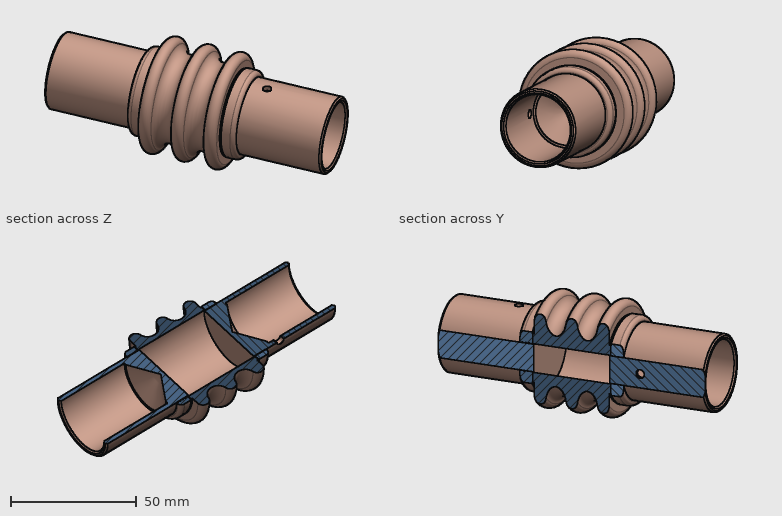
import cadquery as cq
import math


overall_length = 117.5
hub_radius = 15.9
bore_radius = 13.6
rim_chamfer = 0.7
bore_floor_x = 25.8
cone_radius = 12.6
cone_point_angle = 118.0
radial_hole_x = 30.1
radial_hole_diameter = 3.4

bellows_diameter = 48.0
rib_count = 3
rib_pitch = 13.9
rib_radius = 2.7
valley_floor_radius = 18.2
neck_length = 0.7
neck_radius = 18.0

ring_radius = 18.3
ring_width = 5.6
ring_fillet = 1.9

hub_outer_x = overall_length / 2
last_rib_x = rib_pitch * (rib_count - 1) / 2
bellows_side_x = last_rib_x + rib_radius
neck_end_x = bellows_side_x + neck_length
hub_inner_x = bellows_side_x

rib_center_radius = bellows_diameter / 2 - rib_radius
half_pitch = rib_pitch / 2
rib_center_height = rib_center_radius - valley_floor_radius
rib_top_height = rib_center_height + rib_radius
valley_radius = (half_pitch**2 + rib_center_height**2 - rib_radius**2) / (2 * rib_top_height)
valley_center_radius = valley_floor_radius + valley_radius
tangent_angle = math.atan2(valley_center_radius - rib_center_radius, half_pitch)

X_AXIS_START = (0, 0, 0)
X_AXIS_END = (1, 0, 0)


def revolve_about_x(profile):
    """Turn a closed (x, radius) profile around the X axis."""
    return profile.revolve(360, X_AXIS_START, X_AXIS_END)


def arc_point(center_x, center_radius, radius, angle):
    """Point on an arc of the bellows profile, with the angle in radians from +X."""
    return (center_x + radius * math.cos(angle), center_radius + radius * math.sin(angle))


def make_hub():
    """Hub on the +X side: blind bore with a conical floor and one radial hole at the top."""
    cone_depth = cone_radius / math.tan(math.radians(cone_point_angle / 2))
    body = revolve_about_x(
        cq.Workplane("XZ")
        .moveTo(hub_inner_x, 0)
        .lineTo(hub_inner_x, hub_radius)
        .lineTo(hub_outer_x - rim_chamfer, hub_radius)
        .lineTo(hub_outer_x, hub_radius - rim_chamfer)
        .lineTo(hub_outer_x, bore_radius + rim_chamfer)
        .lineTo(hub_outer_x - rim_chamfer, bore_radius)
        .lineTo(bore_floor_x, bore_radius)
        .lineTo(bore_floor_x, cone_radius)
        .lineTo(bore_floor_x - cone_depth, 0)
        .close()
    )
    radial_hole = (
        cq.Workplane("XY")
        .center(radial_hole_x, 0)
        .circle(radial_hole_diameter / 2)
        .extrude(hub_radius)
    )
    return body.cut(radial_hole).solids()


def make_opposite_hub():
    """The same hub on the -X side, a quarter turn round so that its radial hole faces +Y."""
    facing_left = make_hub().rotate((0, 0, 0), (0, 0, 1), 180)
    return facing_left.rotate(X_AXIS_START, X_AXIS_END, -90)


def make_bellows():
    """Round-topped ribs joined by round valleys, with a short plain neck at each end."""
    profile = (
        cq.Workplane("XZ")
        .moveTo(-neck_end_x, hub_radius)
        .lineTo(-neck_end_x, neck_radius)
        .lineTo(-bellows_side_x, neck_radius)
        .lineTo(-bellows_side_x, rib_center_radius)
    )
    for index in range(rib_count):
        rib_x = index * rib_pitch - last_rib_x
        rib_top = arc_point(rib_x, rib_center_radius, rib_radius, math.pi / 2)
        if index == rib_count - 1:
            profile = profile.threePointArc(rib_top, (bellows_side_x, rib_center_radius))
            continue

        valley_x = rib_x + half_pitch
        rib_end = arc_point(rib_x, rib_center_radius, rib_radius, tangent_angle)
        next_rib_start = arc_point(rib_x + rib_pitch, rib_center_radius, rib_radius, math.pi - tangent_angle)
        half_down = (tangent_angle + math.pi / 2) / 2
        falling_mid = arc_point(valley_x, valley_center_radius, valley_radius, math.pi + half_down)
        rising_mid = arc_point(valley_x, valley_center_radius, valley_radius, -half_down)
        profile = (
            profile.threePointArc(rib_top, rib_end)
            .threePointArc(falling_mid, (valley_x, valley_floor_radius))
            .threePointArc(rising_mid, next_rib_start)
        )
    profile = (
        profile.lineTo(bellows_side_x, neck_radius)
        .lineTo(neck_end_x, neck_radius)
        .lineTo(neck_end_x, hub_radius)
        .close()
    )
    return revolve_about_x(profile)


def make_clamp_ring(side):
    """Ring around a hub, against the bellows neck, rounded on its outward edge; side is +1 or -1."""
    ring = (
        cq.Workplane("YZ", origin=(side * neck_end_x, 0, 0))
        .circle(ring_radius)
        .extrude(side * ring_width)
    )
    outward_face = ">X" if side > 0 else "<X"
    ring = ring.faces(outward_face).edges().fillet(ring_fillet)
    hub_opening = (
        cq.Workplane("YZ", origin=(side * neck_end_x, 0, 0))
        .circle(hub_radius)
        .extrude(side * ring_width)
    )
    return ring.cut(hub_opening).solids()


right_hub = make_hub()
left_hub = make_opposite_hub()
bellows = make_bellows()
clamp_rings = [make_clamp_ring(side) for side in (-1, 1)]

result = cq.Compound.makeCompound(
    [
        right_hub.val(),
        left_hub.val(),
        bellows.val(),
        *[ring.val() for ring in clamp_rings],
    ]
)